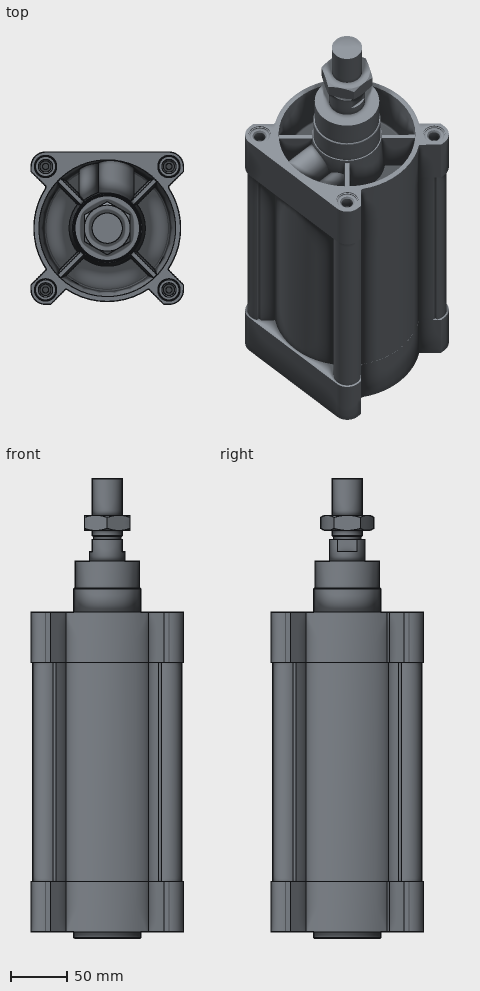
import cadquery as cq
import math

STROKE = 125.0
COVER_HEIGHT = 45.0
ZERO_STROKE_LENGTH = 160.0
BODY_LENGTH = ZERO_STROKE_LENGTH + STROKE
BARREL_LENGTH = BODY_LENGTH - 2 * COVER_HEIGHT
BARREL_TOP = -COVER_HEIGHT
REAR_COVER_TOP = BARREL_TOP - BARREL_LENGTH
BODY_BOTTOM = -BODY_LENGTH

COVER_RADIUS = 65.5
COVER_HALF_WIDTH = 68.0
SCREW_OFFSET = 55.0
COVER_EAR_RADIUS = COVER_HALF_WIDTH - SCREW_OFFSET
EAR_FLANK_OFFSET = 17.5
BARREL_RADIUS = 65.4
BARREL_HALF_WIDTH = 66.5
BARREL_EAR_RADIUS = 12.5
BARREL_FLANK_OFFSET = 17.2
BARREL_LEDGE = 62.7
BARREL_STEP = 48.5

RECESS_TOP_RADIUS = 61.0
RECESS_FLOOR_RADIUS = 56.0
RECESS_DEPTH = 38.0
RECESS_FILLET = 1.5
HUB_TOP_RADIUS = 31.0
HUB_FLOOR_RADIUS = 34.0
RIB_ANGLES = (45, 135, 225, 315)
RIB_DROP = 3.0
RIB_TOP_WIDTH = 4.0
RIB_FLOOR_WIDTH = 7.8
RIB_INNER_RADIUS = 20.0
RIB_OUTER_RADIUS = 63.0
PORT_BOSS_DIAMETER = 32.0
PORT_BOSS_X = 8.0
PORT_BOSS_DEPTH = 20.0
CUSHION_BOSS_DIAMETER = 17.0
CUSHION_BOSS_X = PORT_BOSS_X - (PORT_BOSS_DIAMETER + CUSHION_BOSS_DIAMETER) / 2
CUSHION_BOSS_DEPTH = 24.5

SCREW_RECESS_DIAMETER = 19.9
SCREW_RECESS_DEPTH = 1.0
SCREW_HEAD_DIAMETER = 18.0
SCREW_HEAD_DEPTH = 2.0
SCREW_MOUTH_DIAMETER = 12.8
SCREW_THREAD_DIAMETER = 10.11
SCREW_THREAD_DEPTH = 14.0
SCREW_PILOT_DIAMETER = 5.46
SCREW_PILOT_DEPTH = 18.0

COLLAR_DIAMETER = 60.0
COLLAR_HEIGHT = 21.4
COLLAR_CHAMFER = 0.6
NECK_DIAMETER = 57.6
NECK_TOP = 45.6
SPIGOT_HEIGHT = 6.0
SPIGOT_CHAMFER = 1.0

ROD_DIAMETER = 32.0
ROD_SHOULDER = 65.0
ROD_INSERTION = COVER_HEIGHT
ROD_FLATS_WIDTH = 27.0
ROD_FLATS_HEIGHT = 11.0
THREAD_DIAMETER = 27.0
THREAD_LENGTH = 54.0
THREAD_CHAMFER = 1.0
UNDERCUT_DIAMETER = 24.9
UNDERCUT_LENGTH = 2.5
ROD_END = ROD_SHOULDER + THREAD_LENGTH

NUT_ACROSS_FLATS = 41.0
NUT_CORNER_DIAMETER = NUT_ACROSS_FLATS / math.cos(math.pi / 6)
NUT_HEIGHT = 13.5
THREAD_ABOVE_NUT = 32.6
NUT_TOP = ROD_END - THREAD_ABOVE_NUT
NUT_CHAMFER_ANGLE = math.radians(30)


def cylinder(diameter, bottom, top):
    return cq.Workplane("XY").workplane(offset=bottom).circle(diameter / 2).extrude(top - bottom)


def cone(bottom_radius, top_radius, bottom, top):
    solid = cq.Solid.makeCone(bottom_radius, top_radius, top - bottom, cq.Vector(0, 0, bottom))
    return cq.Workplane(solid)


def four_ears(ear):
    """Add the same ear at all four corners."""
    ears = ear
    for turn in range(1, 4):
        ears = ears.union(ear.rotate((0, 0, 0), (0, 0, 1), 90 * turn))
    return ears


def cover(bottom, top):
    """Round cover with four ears and a flat side at +Y for the port."""
    flank_end = COVER_HALF_WIDTH - EAR_FLANK_OFFSET
    arc_middle = SCREW_OFFSET + COVER_EAR_RADIUS * math.sqrt(0.5)
    ear = (
        cq.Workplane("XY").workplane(offset=bottom)
        .moveTo(EAR_FLANK_OFFSET, 0)
        .lineTo(COVER_HALF_WIDTH, flank_end)
        .lineTo(COVER_HALF_WIDTH, SCREW_OFFSET)
        .threePointArc((arc_middle, arc_middle), (SCREW_OFFSET, COVER_HALF_WIDTH))
        .lineTo(flank_end, COVER_HALF_WIDTH)
        .lineTo(0, EAR_FLANK_OFFSET)
        .close()
        .extrude(top - bottom)
    )
    port_side = (
        cq.Workplane("XY").workplane(offset=bottom)
        .center(0, COVER_HALF_WIDTH / 2)
        .rect(2 * SCREW_OFFSET, COVER_HALF_WIDTH)
        .extrude(top - bottom)
    )
    return cylinder(2 * COVER_RADIUS, bottom, top).union(four_ears(ear)).union(port_side)


def barrel():
    """Profile tube with four slightly slimmer ears, each with a stepped notch in both flanks."""
    flank_end = BARREL_LEDGE - BARREL_FLANK_OFFSET
    arc_center = BARREL_HALF_WIDTH - BARREL_EAR_RADIUS
    arc_middle = arc_center + BARREL_EAR_RADIUS * math.sqrt(0.5)
    arc_end = arc_center + math.sqrt(BARREL_EAR_RADIUS ** 2 - (arc_center - BARREL_STEP) ** 2)
    ear = (
        cq.Workplane("XY").workplane(offset=REAR_COVER_TOP)
        .moveTo(BARREL_FLANK_OFFSET, 0)
        .lineTo(BARREL_LEDGE, flank_end)
        .lineTo(BARREL_LEDGE, BARREL_STEP)
        .lineTo(arc_end, BARREL_STEP)
        .threePointArc((arc_middle, arc_middle), (BARREL_STEP, arc_end))
        .lineTo(BARREL_STEP, BARREL_LEDGE)
        .lineTo(flank_end, BARREL_LEDGE)
        .lineTo(0, BARREL_FLANK_OFFSET)
        .close()
        .extrude(BARREL_LENGTH)
    )
    return cylinder(2 * BARREL_RADIUS, REAR_COVER_TOP, BARREL_TOP).union(four_ears(ear))


def rib(angle):
    """Radial rib with sloping sides, from the hub to the recess wall."""
    profile = [
        (-RIB_FLOOR_WIDTH / 2, -RECESS_DEPTH),
        (RIB_FLOOR_WIDTH / 2, -RECESS_DEPTH),
        (RIB_TOP_WIDTH / 2, -RIB_DROP),
        (-RIB_TOP_WIDTH / 2, -RIB_DROP),
    ]
    length = RIB_OUTER_RADIUS - RIB_INNER_RADIUS
    solid = cq.Workplane("YZ").workplane(offset=RIB_INNER_RADIUS).polyline(profile).close().extrude(length)
    return solid.rotate((0, 0, 0), (0, 0, 1), angle)


def wall_boss(diameter, x, depth):
    """Round boss along Y, from the hub to the +Y side."""
    return cq.Workplane("XZ").center(x, -depth).circle(diameter / 2).extrude(-RIB_OUTER_RADIUS)


def recess():
    """Ring-shaped pocket around the hub, less the ribs and the two bosses."""
    pocket = cone(RECESS_FLOOR_RADIUS, RECESS_TOP_RADIUS, -RECESS_DEPTH, 0)
    pocket = pocket.faces("<Z").edges().fillet(RECESS_FILLET)
    pocket = pocket.cut(cone(HUB_FLOOR_RADIUS, HUB_TOP_RADIUS, -RECESS_DEPTH, 0))
    for angle in RIB_ANGLES:
        pocket = pocket.cut(rib(angle))
    pocket = pocket.cut(wall_boss(PORT_BOSS_DIAMETER, PORT_BOSS_X, PORT_BOSS_DEPTH))
    return pocket.cut(wall_boss(CUSHION_BOSS_DIAMETER, CUSHION_BOSS_X, CUSHION_BOSS_DEPTH))


def screw_opening():
    """Stepped opening of one tie screw, from Z = 0 down."""
    mouth_radius = SCREW_MOUTH_DIAMETER / 2
    thread_radius = SCREW_THREAD_DIAMETER / 2
    thread_start = SCREW_HEAD_DEPTH + mouth_radius - thread_radius
    opening = cylinder(SCREW_RECESS_DIAMETER, -SCREW_RECESS_DEPTH, 0)
    opening = opening.union(cylinder(SCREW_HEAD_DIAMETER, -SCREW_HEAD_DEPTH, 0))
    opening = opening.union(cone(thread_radius, mouth_radius, -thread_start, -SCREW_HEAD_DEPTH))
    opening = opening.union(cylinder(SCREW_THREAD_DIAMETER, -SCREW_THREAD_DEPTH, 0))
    return opening.union(cylinder(SCREW_PILOT_DIAMETER, -SCREW_PILOT_DEPTH, 0))


def make_housing():
    """Covers, barrel and collars, with the hole for the rod."""
    body = cover(BARREL_TOP, 0).union(barrel()).union(cover(BODY_BOTTOM, REAR_COVER_TOP))
    body = body.cut(recess())
    for x in (-SCREW_OFFSET, SCREW_OFFSET):
        for y in (-SCREW_OFFSET, SCREW_OFFSET):
            body = body.cut(screw_opening().translate((x, y, 0)))
    collar = cylinder(COLLAR_DIAMETER, 0, COLLAR_HEIGHT).faces(">Z").chamfer(COLLAR_CHAMFER)
    neck = cylinder(NECK_DIAMETER, 0, NECK_TOP)
    spigot = cylinder(COLLAR_DIAMETER, BODY_BOTTOM - SPIGOT_HEIGHT, BODY_BOTTOM)
    spigot = spigot.faces("<Z").chamfer(SPIGOT_CHAMFER)
    body = body.union(collar).union(neck).union(spigot)
    return body.cut(cylinder(ROD_DIAMETER, -ROD_INSERTION, NECK_TOP))


def make_rod():
    """Piston rod with wrench flats, an undercut and a plain cylindrical threaded end."""
    rod = cylinder(ROD_DIAMETER, -ROD_INSERTION, ROD_SHOULDER)
    for side in (-1, 1):
        flat = (
            cq.Workplane("XY").workplane(offset=ROD_SHOULDER - ROD_FLATS_HEIGHT)
            .center(side * (ROD_FLATS_WIDTH + ROD_DIAMETER) / 2, 0)
            .rect(ROD_DIAMETER, ROD_DIAMETER)
            .extrude(ROD_FLATS_HEIGHT)
        )
        rod = rod.cut(flat)
    thread_start = ROD_SHOULDER + UNDERCUT_LENGTH
    thread = cylinder(THREAD_DIAMETER, thread_start, ROD_END).faces("<Z").chamfer(THREAD_CHAMFER)
    return rod.union(cylinder(UNDERCUT_DIAMETER, ROD_SHOULDER, ROD_END)).union(thread)


def make_nut():
    """Hexagon nut with chamfered corners; two flats face -X and +X."""
    bottom = NUT_TOP - NUT_HEIGHT
    hexagon = (
        cq.Workplane("XY").workplane(offset=bottom)
        .polygon(6, NUT_CORNER_DIAMETER)
        .extrude(NUT_HEIGHT)
        .rotate((0, 0, 0), (0, 0, 1), 30)
    )
    chamfer_width = (NUT_CORNER_DIAMETER - NUT_ACROSS_FLATS) / 2
    chamfer_height = chamfer_width * math.tan(NUT_CHAMFER_ANGLE)
    envelope = cylinder(NUT_CORNER_DIAMETER, bottom, NUT_TOP).edges().chamfer(chamfer_height, chamfer_width)
    return hexagon.intersect(envelope).cut(cylinder(THREAD_DIAMETER, bottom, NUT_TOP))


housing = make_housing()
rod = make_rod()
nut = make_nut()
result = cq.Compound.makeCompound([housing.val(), rod.val(), nut.val()])